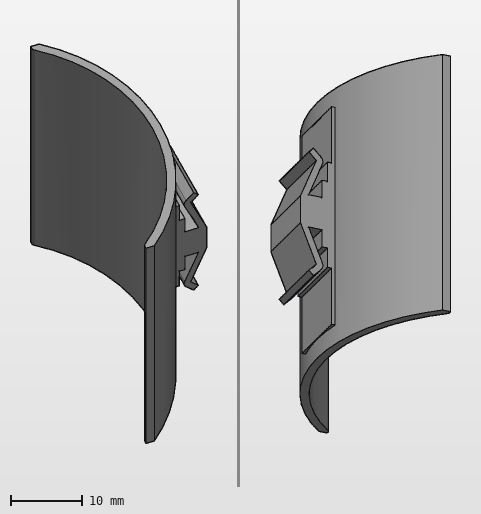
import cadquery as cq
import math

width = 42.0
height = 40.0
depth = 15.88
outer_radius = 27.5
shell_thickness = 1.3
shell_rise = 11.0
edge_round = 0.5
selection_margin = 0.05

clip_width = 10.1
pad_half_height = 17.0
pad_rise = 0.1
foot_half_height = 8.25
foot_rise = 0.7
stem_half_height = 5.2
stem_rise = 1.55
neck_half_height = 2.5

arm_thickness = 1.0
back_half_height = 2.1
elbow_drop = 2.45
elbow_height = 8.1
tip_length = 1.65
tip_angle = math.radians(45)

half_width = width / 2
inner_radius = outer_radius - shell_thickness
front_y = -shell_rise
back_y = depth - shell_rise


def circle_y(radius, x):
    """Y of a circle about the shell axis at the given X."""
    return math.sqrt(radius**2 - x**2) - outer_radius


def make_shell():
    side_y = circle_y(outer_radius, half_width)
    inner_x = math.sqrt(inner_radius**2 - (front_y + outer_radius) ** 2)
    shell = (
        cq.Workplane("XY")
        .moveTo(-half_width, front_y)
        .lineTo(-half_width, side_y)
        .threePointArc((0, 0), (half_width, side_y))
        .lineTo(half_width, front_y)
        .lineTo(inner_x, front_y)
        .threePointArc((0, -shell_thickness), (-inner_x, front_y))
        .close()
        .extrude(height / 2, both=True)
    )
    inner_corners = cq.selectors.BoxSelector(
        (-inner_x - selection_margin, front_y - selection_margin, -height),
        (inner_x + selection_margin, front_y + selection_margin, height),
    )
    return shell.edges("|Z").edges(inner_corners).fillet(edge_round)


def make_block(half_height, top_y):
    """Block across the clip width, from inside the shell wall out to top_y."""
    bottom_y = circle_y(outer_radius, clip_width / 2) - shell_thickness / 4
    return (
        cq.Workplane("XY")
        .box(clip_width, top_y - bottom_y, 2 * half_height, centered=(True, False, True))
        .translate((0, bottom_y, 0))
    )


def make_upper_arm():
    elbow_y = back_y - elbow_drop
    arm_angle = math.atan2(elbow_drop, elbow_height - back_half_height)

    def inner_offset(angle):
        """Point one arm thickness from the elbow, at an angle above -Y."""
        return (
            elbow_y - arm_thickness * math.cos(angle),
            elbow_height + arm_thickness * math.sin(angle),
        )

    arm_side = inner_offset(-arm_angle)
    bend_middle = inner_offset((tip_angle - arm_angle) / 2)
    tip_side = inner_offset(tip_angle)
    tip_y_step = tip_length * math.sin(tip_angle)
    tip_z_step = tip_length * math.cos(tip_angle)
    root_y = arm_side[0] + (arm_side[1] - neck_half_height) * math.tan(arm_angle)
    return (
        cq.Workplane("YZ")
        .moveTo(back_y, 0)
        .lineTo(back_y, back_half_height)
        .lineTo(elbow_y, elbow_height)
        .lineTo(elbow_y + tip_y_step, elbow_height + tip_z_step)
        .lineTo(tip_side[0] + tip_y_step, tip_side[1] + tip_z_step)
        .lineTo(*tip_side)
        .threePointArc(bend_middle, arm_side)
        .lineTo(root_y, neck_half_height)
        .lineTo(root_y, 0)
        .close()
        .extrude(clip_width / 2, both=True)
    )


upper_arm = make_upper_arm()
lower_arm = upper_arm.mirror("XY")
neck_top_y = back_y - elbow_drop / 2

result = (
    make_shell()
    .union(make_block(pad_half_height, pad_rise))
    .union(make_block(foot_half_height, foot_rise))
    .union(make_block(stem_half_height, stem_rise))
    .union(make_block(neck_half_height, neck_top_y))
    .union(upper_arm)
    .union(lower_arm)
)